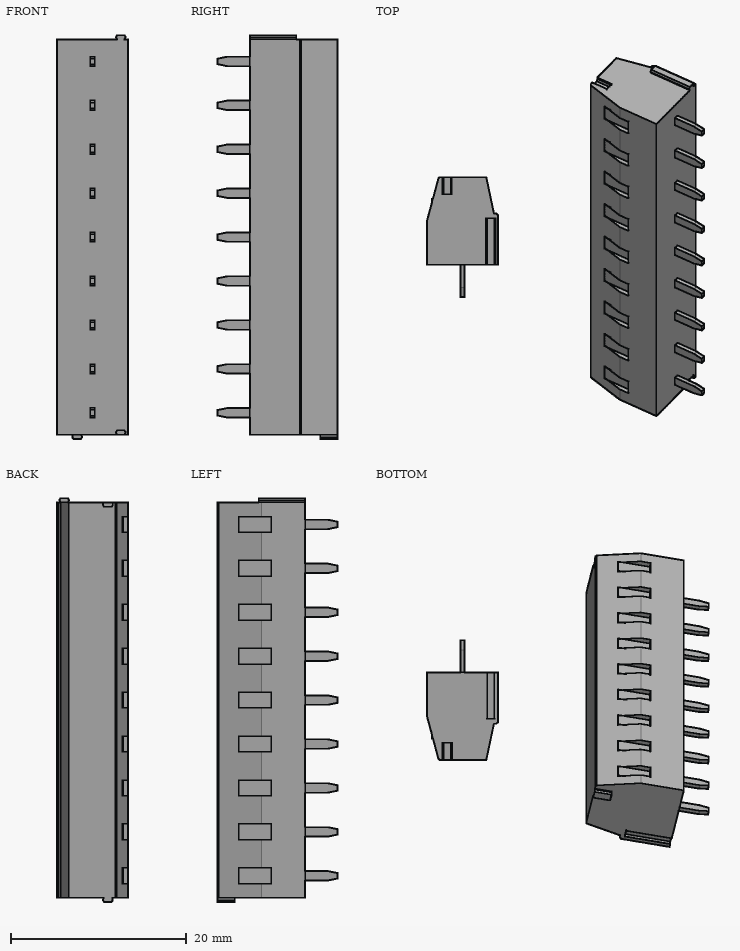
import cadquery as cq

width = 8.1
depth = 10.0
height = 45.0
pin_count = 9
pitch = height / pin_count

left_flat_depth = 5.0
top_left = 1.35
top_corner = 0.15
top_right = 6.75
step_depth = 5.85
step_width = 0.45
step_corner = 0.2

entry_front = 3.85
entry_back = 7.55
entry_height = 1.8
entry_face_x = 0.55
entry_backing = 0.45

pin_length = 3.7
pin_taper = 1.1
pin_thickness = 0.5
pin_height = 1.1
pin_tip_height = 0.65
pin_center_x = width / 2

rail_height = 0.5
bulge_height = 0.28
tip_width = 0.85
bulge_width = 1.15
front_rail_x = 7.25
front_rail_length = 5.3
front_base_width = 0.85
back_rail_x = 2.3
back_rail_length = 2.0
back_base_width = 1.0


def housing():
    left_slope = top_left / (depth - left_flat_depth)
    outline = [
        (0, 0),
        (width, 0),
        (width, step_depth - step_corner),
        (width - step_corner, step_depth),
        (width - step_width, step_depth),
        (top_right, depth),
        (top_left + top_corner, depth),
        (top_left - top_corner * left_slope, depth - top_corner),
        (0, left_flat_depth),
    ]
    return cq.Workplane("XY").polyline(outline).close().extrude(height)


def rail(base_width, length):
    """Bar from the origin along +Y; its section widens to a bulge, then narrows to the tip."""
    section = [
        (-base_width / 2, 0),
        (-bulge_width / 2, bulge_height),
        (-tip_width / 2, rail_height),
        (tip_width / 2, rail_height),
        (bulge_width / 2, bulge_height),
        (base_width / 2, 0),
    ]
    return cq.Workplane("XZ").polyline(section).close().extrude(-length)


def entry_block(x_start, x_size, center_z):
    block = cq.Workplane("XY").box(
        x_size, entry_back - entry_front, entry_height, centered=(False, False, True)
    )
    return block.translate((x_start, entry_front, center_z))


def pin(center_z):
    """Flat pin pointing to -Y, tapered in height toward its tip."""
    outline = [
        (0, -pin_height / 2),
        (pin_taper - pin_length, -pin_height / 2),
        (-pin_length, -pin_tip_height / 2),
        (-pin_length, pin_tip_height / 2),
        (pin_taper - pin_length, pin_height / 2),
        (0, pin_height / 2),
    ]
    blade = cq.Workplane("YZ").polyline(outline).close().extrude(pin_thickness)
    return blade.translate((pin_center_x - pin_thickness / 2, 0, center_z))


result = housing()

front_rail = rail(front_base_width, front_rail_length).translate((front_rail_x, 0, 0))
back_rail = rail(back_base_width, back_rail_length).mirror("XY")
back_rail = back_rail.translate((back_rail_x, depth - back_rail_length, 0))
end_to_end = (0, 0, height)

result = result.cut(front_rail)
result = result.cut(back_rail.translate(end_to_end))
result = result.union(front_rail.translate(end_to_end))
result = result.union(back_rail)

for index in range(pin_count):
    terminal_z = (index + 0.5) * pitch
    result = result.cut(entry_block(0, entry_face_x, terminal_z))
    result = result.union(entry_block(entry_face_x, entry_backing, terminal_z))
    result = result.union(pin(terminal_z))